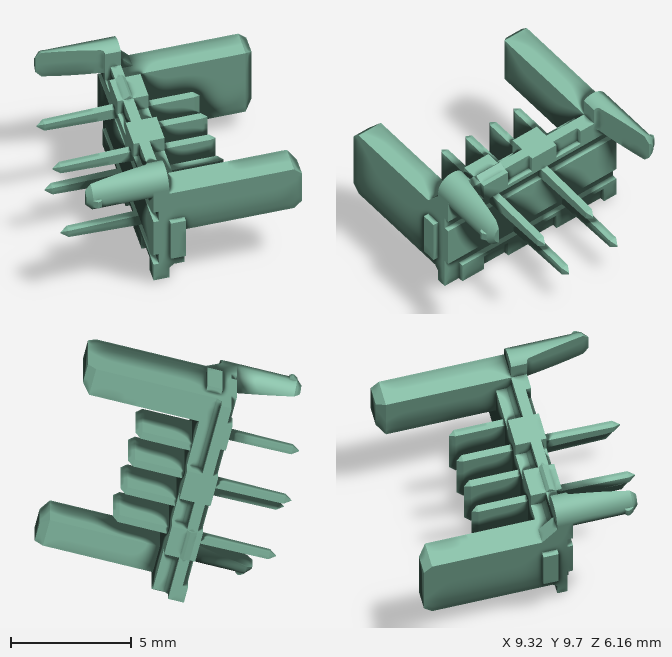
import cadquery as cq


pitch = 1.27
eps = 0.1

plate_half_length = 4.42
plate_height = 5.01
plate_thickness = 1.33
lip_thickness = 0.68
mid_z = plate_height / 2
front_recess = 0.23
channel_height = 0.57
pocket_height = 0.76
notch_chamfer = 0.19
corner_recess_length = 0.75
short_pocket_end = 3.77
gusset_length = 0.65

length_over_ears = 9.32
ear_projection = length_over_ears / 2 - plate_half_length
ear_bottom = 1.35
ear_top = 3.45
bump_height = 0.17
bump_peak_y = 0.52

arm_thickness = 1.17
arm_end_y = 6.39
arm_chamfer = 0.35
right_arm_bottom = 2.7
arm_inner_x = plate_half_length - arm_thickness

latch_radius = 0.73
latch_rise = 0.25
latch_center_z = plate_height + latch_rise
latch_center_x = plate_half_length - latch_radius
latch_end_y = -2.81
latch_end_chamfer = 0.24
latch_root_radius = 0.18
latch_root_x = 3.43
latch_root_y = -0.16
latch_tip_x = 3.95
nub_half_height = 0.18
nub_projection = 0.11
nub_step = 0.05
nub_rear_y = -2.23
nub_front_y = -2.58
nub_crest_rear_y = -2.33
nub_crest_front_y = -2.41

pin_count = 4
pin_width = 0.32
leg_shoulder_y = -3.01
leg_tip_y = -3.31
leg_shoulder_height = 0.37
leg_tip_height = 0.08
blade_shoulder_y = 3.44
blade_tip_y = 3.7
blade_half_height = 1.34
blade_tip_drop = 0.12


def block(x_range, y_range, z_range):
    """Axis-aligned box given by its limits."""
    size = [high - low for low, high in (x_range, y_range, z_range)]
    corner = cq.Vector(x_range[0], y_range[0], z_range[0])
    return cq.Workplane(cq.Solid.makeBox(*size, corner))


def extrude_along_x(yz_points, x_start, x_end):
    """Prism with a polygonal Y-Z section."""
    section = cq.Workplane("YZ", origin=(x_start, 0, 0)).polyline(yz_points).close()
    return section.extrude(x_end - x_start)


def extrude_along_z(xy_points, z_start, z_end):
    """Prism with a polygonal X-Y section."""
    section = cq.Workplane("XY", origin=(0, 0, z_start)).polyline(xy_points).close()
    return section.extrude(z_end - z_start)


def half_turn(solid):
    """Turn a feature by 180 degrees about the Y-parallel line through the plate centre."""
    return solid.rotate((0, 0, mid_z), (0, 1, mid_z), 180)


def front_pocket(x_start, x_end):
    """Pocket in the front face, open at the upper edge of the plate."""
    return block(
        (x_start, x_end),
        (-eps, front_recess),
        (plate_height - pocket_height, plate_height + eps),
    )


def rear_notch(x_start, x_end):
    """Step in the rear upper edge with a chamfered foot against the front lip."""
    floor = plate_height - pocket_height
    points = [
        (lip_thickness, plate_height + eps),
        (lip_thickness, floor + notch_chamfer),
        (lip_thickness + notch_chamfer, floor),
        (plate_thickness + eps, floor),
        (plate_thickness + eps, plate_height + eps),
    ]
    return extrude_along_x(points, x_start, x_end)


def make_plate():
    """Plate with front channels and pockets and rear notches along both edges."""
    plate = block(
        (-plate_half_length, plate_half_length), (0, plate_thickness), (0, plate_height)
    )
    full_length = (-plate_half_length - eps, plate_half_length + eps)
    upper_row_z = mid_z + pitch
    channel = block(
        full_length,
        (-eps, front_recess),
        (upper_row_z - channel_height / 2, upper_row_z + channel_height / 2),
    )
    corner_recess = block(
        (-plate_half_length - eps, -plate_half_length + corner_recess_length),
        (-eps, front_recess),
        (-eps, mid_z - pitch),
    )
    plate = plate.cut(channel).cut(half_turn(channel)).cut(corner_recess)

    upper_pockets = [(-arm_inner_x, -2 * pitch), (-pitch, 0), (pitch, 2 * pitch)]
    lower_pockets = [(-short_pocket_end, -2 * pitch), (-pitch, 0), (pitch, 2 * pitch)]
    for x_start, x_end in upper_pockets:
        plate = plate.cut(front_pocket(x_start, x_end))
    for x_start, x_end in lower_pockets:
        plate = plate.cut(half_turn(front_pocket(x_start, x_end)))

    end_x = plate_half_length + eps
    upper_notches = [(-end_x, -2 * pitch), (-pitch, 0), (pitch, arm_inner_x)]
    lower_notches = [(-end_x, -2 * pitch), (-pitch, 0), (pitch, end_x)]
    for x_start, x_end in upper_notches:
        plate = plate.cut(rear_notch(x_start, x_end))
    for x_start, x_end in lower_notches:
        plate = plate.cut(half_turn(rear_notch(x_start, x_end)))
    return plate


def make_gusset():
    """Sloped web between the front lip and the top of the left arm."""
    floor = plate_height - pocket_height
    points = [
        (lip_thickness - eps, floor - eps),
        (lip_thickness - eps, plate_height),
        (lip_thickness, plate_height),
        (plate_thickness, floor),
        (plate_thickness, floor - eps),
    ]
    return extrude_along_x(points, -plate_half_length, -plate_half_length + gusset_length)


def make_bump():
    """Ridge on the upper edge of the plate."""
    points = [
        (front_recess, plate_height - eps),
        (front_recess, plate_height),
        (bump_peak_y, plate_height + bump_height),
        (lip_thickness, plate_height),
        (lip_thickness, plate_height - eps),
    ]
    return extrude_along_x(points, -2 * pitch, -pitch)


def make_right_ear():
    """Low rectangular pad on the end of the plate."""
    return block(
        (plate_half_length - eps, plate_half_length + ear_projection),
        (lip_thickness, plate_thickness),
        (ear_bottom, ear_top),
    )


def make_arm(side, bottom, top):
    """Arm on one side (-1 left, +1 right), bevelled at its free end."""
    outer = side * plate_half_length
    inner = side * arm_inner_x
    bevel_y = arm_end_y - arm_chamfer
    plan = extrude_along_z(
        [
            (outer, lip_thickness),
            (outer, arm_end_y),
            (inner + side * arm_chamfer, arm_end_y),
            (inner, bevel_y),
            (inner, lip_thickness),
        ],
        bottom,
        top,
    )
    profile = extrude_along_x(
        [
            (lip_thickness, bottom),
            (bevel_y, bottom),
            (arm_end_y, bottom + arm_chamfer),
            (arm_end_y, top - arm_chamfer),
            (bevel_y, top),
            (lip_thickness, top),
        ],
        -plate_half_length,
        plate_half_length,
    )
    return plan.intersect(profile)


def make_right_latch():
    """Round latch leg, flattened on its inner side, with a nub on the outside."""
    base_y = lip_thickness
    rod = (
        cq.Workplane("XZ", origin=(latch_center_x, base_y, latch_center_z))
        .circle(latch_radius)
        .extrude(base_y - latch_end_y)
        .faces("<Y")
        .chamfer(latch_end_chamfer)
    )
    plan = (
        cq.Workplane("XY", origin=(0, 0, latch_center_z - latch_radius))
        .moveTo(plate_half_length, base_y)
        .lineTo(arm_inner_x, base_y)
        .lineTo(arm_inner_x, 0)
        .radiusArc((latch_root_x, latch_root_y), latch_root_radius)
        .lineTo(latch_tip_x, latch_end_y)
        .lineTo(plate_half_length, latch_end_y)
        .close()
        .extrude(2 * latch_radius)
    )
    shoulder = block(
        (arm_inner_x, plate_half_length),
        (0, base_y),
        (plate_height - eps, latch_center_z),
    )
    nub = extrude_along_z(
        [
            (plate_half_length - eps, nub_rear_y),
            (plate_half_length + nub_step, nub_rear_y),
            (plate_half_length + nub_projection, nub_crest_rear_y),
            (plate_half_length + nub_projection, nub_crest_front_y),
            (plate_half_length, nub_front_y),
            (plate_half_length - eps, nub_front_y),
        ],
        latch_center_z - nub_half_height,
        latch_center_z + nub_half_height,
    )
    return rod.intersect(plan).union(shoulder).union(nub)


def make_pin(x, row_z):
    """Tapered front leg at one row height and a tall flat blade behind the plate."""
    half_width = pin_width / 2
    plan = extrude_along_z(
        [
            (x - half_width, leg_shoulder_y),
            (x, leg_tip_y),
            (x + half_width, leg_shoulder_y),
            (x + half_width, blade_shoulder_y),
            (x, blade_tip_y),
            (x - half_width, blade_shoulder_y),
        ],
        0,
        plate_height,
    )
    leg = extrude_along_x(
        [
            (plate_thickness, row_z - channel_height / 2),
            (front_recess, row_z - channel_height / 2),
            (leg_shoulder_y, row_z - leg_shoulder_height / 2),
            (leg_tip_y, row_z - leg_tip_height / 2),
            (leg_tip_y, row_z + leg_tip_height / 2),
            (leg_shoulder_y, row_z + leg_shoulder_height / 2),
            (front_recess, row_z + channel_height / 2),
            (plate_thickness, row_z + channel_height / 2),
        ],
        x - half_width,
        x + half_width,
    )
    blade_top = mid_z + blade_half_height
    blade_bottom = mid_z - blade_half_height
    blade = extrude_along_x(
        [
            (plate_thickness - eps, blade_bottom),
            (blade_shoulder_y, blade_bottom),
            (blade_tip_y, blade_bottom + blade_tip_drop),
            (blade_tip_y, blade_top - blade_tip_drop),
            (blade_shoulder_y, blade_top),
            (plate_thickness - eps, blade_top),
        ],
        x - half_width,
        x + half_width,
    )
    return plan.intersect(leg.union(blade))


right_latch = make_right_latch()
right_ear = make_right_ear()

result = make_plate().union(make_gusset())
result = result.union(right_ear).union(right_ear.mirror("YZ"))
result = result.union(make_bump()).union(half_turn(make_bump()))
result = result.union(make_arm(-1, pocket_height, plate_height - pocket_height))
result = result.union(make_arm(1, right_arm_bottom, plate_height))
result = result.union(right_latch).union(right_latch.mirror("YZ"))

for index in range(pin_count):
    pin_x = (index - (pin_count - 1) / 2) * pitch
    row_offset = pitch if index % 2 == 0 else -pitch
    result = result.union(make_pin(pin_x, mid_z + row_offset))